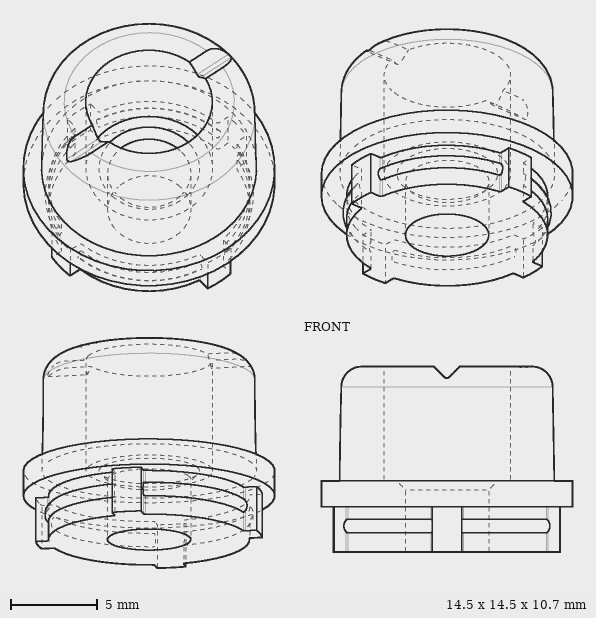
import cadquery as cq
import math

total_height = 10.7
flange_bottom = 2.6
flange_top = 4.1
flange_diameter = 14.5

cap_base_radius = 6.2
cap_draft_angle = 1.0
cap_edge_fillet = 1.2

hub_radius = 5.8
rib_outer_radius = 6.55
rib_width = 1.7
rib_count = 4
rib_root_fillet = 0.1
ring_height = 1.5
ring_section_radius = 0.5
ring_path_radius = 5.5

bore_diameter = 7.3
bore_floor = flange_top
hole_diameter = 4.8
hole_chamfer = 0.5

groove_width = 1.5
groove_root_radius = 0.2


def make_cap():
    height = total_height - flange_top
    top_radius = cap_base_radius - height * math.tan(math.radians(cap_draft_angle))
    profile = [
        (0, flange_top),
        (cap_base_radius, flange_top),
        (top_radius, total_height),
        (0, total_height),
    ]
    cap = cq.Workplane("XZ").polyline(profile).close().revolve(360, (0, 0), (0, 1))
    return cap.faces(">Z").edges().fillet(cap_edge_fillet)


def make_flange():
    flange = cq.Workplane("XY").workplane(offset=flange_bottom)
    return flange.circle(flange_diameter / 2).extrude(flange_top - flange_bottom)


def make_ribbed_hub():
    hub = cq.Workplane("XY").circle(hub_radius).extrude(flange_bottom)
    rib_limit = cq.Workplane("XY").circle(rib_outer_radius).extrude(flange_bottom)
    rib_blank = cq.Workplane("XY").rect(2 * flange_diameter, rib_width).extrude(flange_bottom)

    for bar in range(rib_count // 2):
        angle = bar * 360 / rib_count
        hub = hub.union(rib_blank.rotate((0, 0, 0), (0, 0, 1), angle).intersect(rib_limit))

    mid_radius = (hub_radius + rib_outer_radius) / 2
    root_zone = cq.selectors.BoxSelector(
        (-mid_radius, -mid_radius, 0), (mid_radius, mid_radius, flange_bottom)
    )
    return hub.edges("|Z").edges(root_zone).fillet(rib_root_fillet)


def make_retaining_ring():
    section = cq.Workplane("XZ").center(ring_path_radius, ring_height).circle(ring_section_radius)
    return section.revolve(360, (-ring_path_radius, 0), (-ring_path_radius, 1))


def make_bore():
    chamfer_start = bore_floor - hole_chamfer
    hole_radius = hole_diameter / 2
    bore_radius = bore_diameter / 2
    profile = [
        (0, 0),
        (hole_radius, 0),
        (hole_radius, chamfer_start),
        (hole_radius + hole_chamfer, bore_floor),
        (bore_radius, bore_floor),
        (bore_radius, total_height),
        (0, total_height),
    ]
    return cq.Workplane("XZ").polyline(profile).close().revolve(360, (0, 0), (0, 1))


def make_groove():
    half_width = groove_width / 2
    profile = [
        (-half_width, total_height),
        (half_width, total_height),
        (0, total_height - half_width),
    ]
    groove = cq.Workplane("XZ").polyline(profile).close().extrude(flange_diameter / 2, both=True)
    return groove.edges("<Z").fillet(groove_root_radius)


result = (
    make_ribbed_hub()
    .union(make_retaining_ring())
    .union(make_flange())
    .union(make_cap())
    .cut(make_bore())
    .cut(make_groove())
)